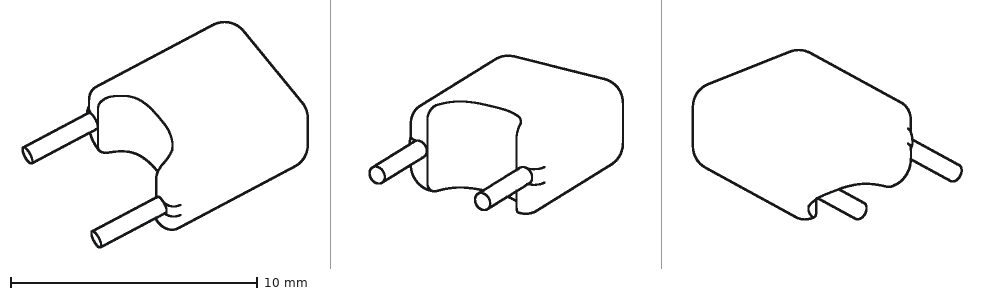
import cadquery as cq
import math

WIDTH = 6.35
HEIGHT = 3.81
DEPTH = 7.17
EDGE_RADIUS = 1.0
LEAD_FACE_RADIUS = 0.5

LEAD_DIAMETER = 0.74
LEAD_LENGTH = 3.18
LEAD_PITCH = 5.08

CUTOUT_HALF_WIDTH = 2.14
CUTOUT_DEPTH = 1.57
FLANK_POINT = (1.94, 0.61)
SHOULDER_POINT = (1.51, 1.21)
CROWN_POINT = (0.90, 1.49)
FLANK_SLOPE = (-0.3, 1.0)

EDGE_STEP_DEPTH = 0.45
FILL_BACK = 0.6
FILL_SECTIONS = 5

half_width = WIDTH / 2
lead_radius = LEAD_DIAMETER / 2
lead_x = LEAD_PITCH / 2


def rounded_block():
    block = cq.Workplane("XY").box(WIDTH, DEPTH, HEIGHT).translate((0, DEPTH / 2, 0))
    block = block.edges("|Y or >Y").fillet(EDGE_RADIUS)
    return block.faces("<Y").edges().fillet(LEAD_FACE_RADIUS)


def cutout():
    """Arch through the full height, drawn as two mirrored curves that meet at the crown."""
    foot = (CUTOUT_HALF_WIDTH, 0)
    crown = (0, CUTOUT_DEPTH)
    right_side = [foot, FLANK_POINT, SHOULDER_POINT, CROWN_POINT, crown]
    left_side = [(-x, y) for x, y in reversed(right_side)]
    level = (-1, 0)
    downward = (FLANK_SLOPE[0], -FLANK_SLOPE[1])
    return (
        cq.Workplane("XY", origin=(0, 0, -HEIGHT / 2))
        .moveTo(*foot)
        .spline(right_side[1:], tangents=[FLANK_SLOPE, level], includeCurrent=True)
        .spline(left_side[1:], tangents=[level, downward], includeCurrent=True)
        .close()
        .extrude(HEIGHT)
    )


def edge_fill():
    """Material beside the right-hand lead: the edge rounding narrows to keep clear of the lead end."""
    fillet_edge_x = half_width - LEAD_FACE_RADIUS
    half_span = math.sqrt(lead_radius**2 - (fillet_edge_x - lead_x) ** 2)
    wires = []
    for i in range(FILL_SECTIONS):
        position = 2 * i / (FILL_SECTIONS - 1) - 1
        z = position * half_span
        lead_edge_x = lead_x + math.sqrt(lead_radius**2 - z**2)
        round_width = half_width - lead_edge_x
        round_depth = EDGE_STEP_DEPTH + (LEAD_FACE_RADIUS - EDGE_STEP_DEPTH) * position**2
        round_middle = (
            lead_edge_x + round_width * math.sin(math.pi / 4),
            round_depth * (1 - math.cos(math.pi / 4)),
        )
        round_end = (half_width, round_depth)
        section = (
            cq.Workplane("XY", origin=(0, 0, z))
            .moveTo(lead_x, FILL_BACK)
            .lineTo(lead_x, 0)
            .lineTo(lead_edge_x, 0)
            .spline([round_middle, round_end], tangents=[(1, 0), (0, 1)], includeCurrent=True)
            .lineTo(half_width, FILL_BACK)
            .close()
        )
        wires.append(section.val())
    return cq.Workplane(cq.Solid.makeLoft(wires))


def make_housing():
    fill = edge_fill()
    return rounded_block().union(fill).union(fill.mirror("YZ")).cut(cutout())


def make_lead(x):
    return cq.Workplane("XZ", origin=(x, 0, 0)).circle(lead_radius).extrude(LEAD_LENGTH)


housing = make_housing()
leads = [make_lead(side * lead_x) for side in (-1, 1)]

result = cq.Compound.makeCompound([housing.val(), *[lead.val() for lead in leads]])